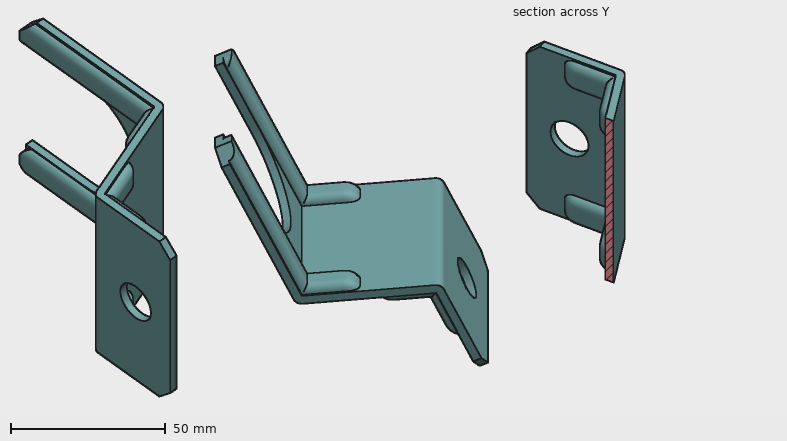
import cadquery as cq
import math

length = 110.0
depth = 45.5
height = 70.0
sheet = 3.0
lean = math.radians(20)
corner_chamfer = 5.0

slot_width = 46.6
slot_end = 51.0
hole_diameter = 14.1
hole_x = 94.0

rib_height = 3.0
rib_width = 10.6
rib_reach = 18.9
rib_end_length = 5.1
rib_z = 28.9

fork_bend_x = 59.3
fork_bend_y = -sheet
foot_bend_y = sheet - depth
foot_bend_x = fork_bend_x + (fork_bend_y - foot_bend_y) * math.tan(lean) + sheet / math.cos(lean)

web_x, web_y = math.sin(lean), -math.cos(lean)
normal_x, normal_y = math.cos(lean), math.sin(lean)


def folded_sheet():
    """Z-shaped strip with sharp inside bends and concentric rounded outside bends."""
    half_turn = (math.pi / 2 - lean) / 2
    arc_x = sheet * math.sin(half_turn)
    arc_y = sheet * math.cos(half_turn)
    return (
        cq.Workplane("XY")
        .moveTo(0, 0)
        .lineTo(fork_bend_x, 0)
        .threePointArc(
            (fork_bend_x + arc_x, fork_bend_y + arc_y),
            (fork_bend_x + sheet * normal_x, fork_bend_y + sheet * normal_y),
        )
        .lineTo(foot_bend_x, foot_bend_y)
        .lineTo(length, foot_bend_y)
        .lineTo(length, -depth)
        .lineTo(foot_bend_x, -depth)
        .threePointArc(
            (foot_bend_x - arc_x, foot_bend_y - arc_y),
            (foot_bend_x - sheet * normal_x, foot_bend_y - sheet * normal_y),
        )
        .lineTo(fork_bend_x, fork_bend_y)
        .lineTo(0, fork_bend_y)
        .close()
        .extrude(height / 2, both=True)
    )


def rib_section(x):
    """Round-edged rib profile facing along local X at the given position."""
    half = rib_width / 2
    edge = rib_height
    diagonal = edge * math.sqrt(0.5)
    return (
        cq.Workplane("YZ", origin=(x, 0, 0))
        .moveTo(-half, 0)
        .threePointArc((-half + edge - diagonal, diagonal), (-half + edge, edge))
        .lineTo(half - edge, edge)
        .threePointArc((half - edge + diagonal, diagonal), (half, 0))
        .close()
    )


def square_rib(run):
    """Rib along local X that ends in an upright face with rounded vertical edges."""
    plan = (
        cq.Workplane("XY")
        .rect(2 * run, rib_width)
        .extrude(rib_height)
        .edges("|Z and >X")
        .fillet(rib_height)
    )
    return rib_section(0).extrude(run).intersect(plan)


def diving_rib(run):
    """Rib along local X whose end curves down into the sheet, keeping its profile."""
    radius = (rib_end_length**2 + rib_height**2) / (2 * rib_height)
    crest_end = run - rib_end_length
    axis_z = rib_height - radius
    dive = rib_section(crest_end).revolve(90, (0, axis_z, 0), (1, axis_z, 0))
    above_sheet = (
        cq.Workplane("XY")
        .rect(2 * run, rib_width)
        .extrude(rib_height)
    )
    return rib_section(0).extrude(crest_end).union(dive.intersect(above_sheet))


def place_rib(body, bend, along, outward, z):
    """Start a rib at a bend, pointing along one leg and rising outward from it."""
    plane = cq.Plane(origin=(*bend, z), xDir=(*along, 0), normal=(*outward, 0))
    return cq.Workplane("XY").add(body.val().moved(cq.Location(plane)))


def corner_prisms():
    """Triangular prisms that chamfer the four outer corners through the depth."""
    prisms = cq.Workplane("XY")
    for x, inward in ((0, 1), (length, -1)):
        for side in (1, -1):
            z = side * height / 2
            prism = (
                cq.Workplane("XZ")
                .moveTo(x, z)
                .lineTo(x + inward * corner_chamfer, z)
                .lineTo(x, z - side * corner_chamfer)
                .close()
                .extrude(depth)
            )
            prisms = prisms.add(prism)
    return prisms.vals()


def fork_slot():
    """Round-ended slot open at the fork tips."""
    radius = slot_width / 2
    centre = slot_end - radius
    return (
        cq.Workplane("XZ")
        .moveTo(0, radius)
        .lineTo(centre, radius)
        .threePointArc((slot_end, 0), (centre, -radius))
        .lineTo(0, -radius)
        .close()
        .extrude(depth)
    )


result = folded_sheet()

fork_bend = (fork_bend_x, fork_bend_y)
foot_bend = (foot_bend_x, foot_bend_y)
fork_rib = square_rib(fork_bend_x)
short_rib = diving_rib(rib_reach)
for z in (rib_z, -rib_z):
    result = result.union(place_rib(fork_rib, fork_bend, (-1, 0), (0, -1), z))
    result = result.union(place_rib(short_rib, fork_bend, (web_x, web_y), (-normal_x, -normal_y), z))
    result = result.union(place_rib(short_rib, foot_bend, (-web_x, -web_y), (normal_x, normal_y), z))
    result = result.union(place_rib(short_rib, foot_bend, (1, 0), (0, 1), z))

result = result.cut(fork_slot())
hole = cq.Workplane("XZ").center(hole_x, 0).circle(hole_diameter / 2).extrude(depth)
result = result.cut(hole)
for prism in corner_prisms():
    result = result.cut(cq.Workplane("XY").add(prism))